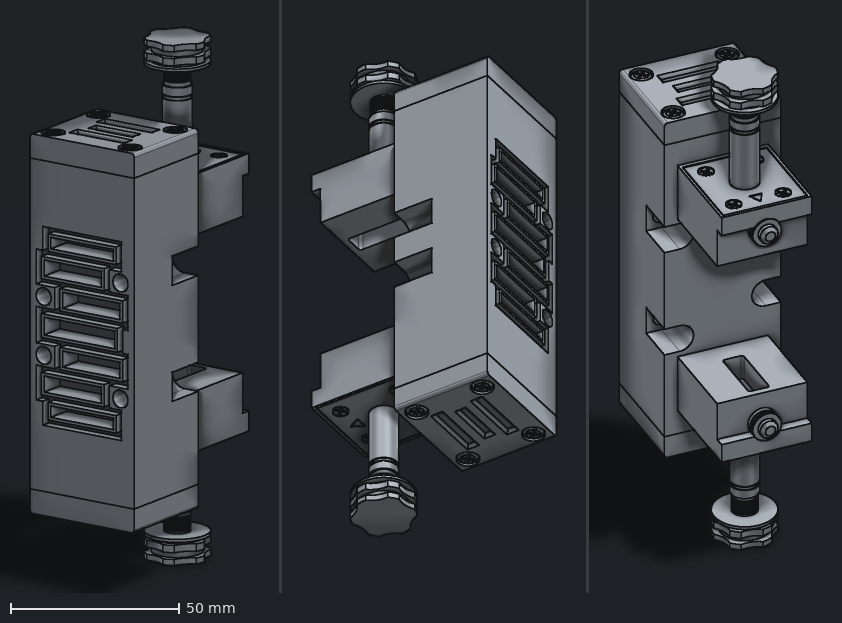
import cadquery as cq
import math


body_width = 38.0
body_depth = 33.0
body_half_length = 51.1

frame_gap = 2.0
frame_wall = 1.0
recess_depth = 3.2
port_depth = 8.0
middle_row_height = 7.4
inner_row_height = 6.9
outer_row_height = 5.5
middle_row_ends = (-14.8, 12.9)
inner_row_ends = (-8.0, 14.8)
next_row_ends = (-14.8, 8.0)
outer_row_ends = (-12.4, 12.4)

bolt_hole_radius = 2.7
bolt_slot_radius = 4.5
bolt_slot_depth = 13.3
bolt_x = 14.0

cap_height = 7.5
cap_edge_radius = 1.1
cap_screw_x = 14.0
cap_screw_y = (5.0, 28.1)
cap_screw_seat_radius = 3.5
cap_screw_base_radius = 3.2
cap_screw_top_radius = 2.2
cap_screw_sink = 1.0
vent_depth = 1.1
vent_inset = 1.0
vents = ((20.0, 4.2, 9.6), (16.0, 3.9, 16.5), (20.0, 4.2, 23.6))

housing_width = 29.4
housing_back = 61.7
housing_inner_z = 24.1
housing_outer_z = 42.9
lip_back = 65.0
lip_height = 6.3
rim_width = 1.05
rim_front_width = 1.5
rim_height = 0.3
housing_screw_x = 8.0
housing_screw_spacing = 20.1
housing_screw_radius = 2.4
housing_screw_sink = 0.3
housing_cross_length = 3.4
arrow_width = 4.2
arrow_length = 3.9
arrow_depth = 0.3
arrow_tip_from_knob = 11.7
window_width = 6.7
window_front = 40.2
window_back = 59.5
window_depth = 8.0
window_corner_radius = 1.0

override_z = 34.0
override_radius = 4.7
override_groove_radius = 4.5
override_groove_start = 63.2
override_groove_end = 64.3
override_end = 65.2
override_head_radius = 2.9
override_head_bevel_height = 1.0
override_head_tip_radius = 1.6
override_tip = 67.7

cross_width = 0.8
cross_depth = 0.8

knob_y = 48.9
knob_top = 80.4
upper_grip_bottom = 78.5
lower_grip_top = 76.3
lower_grip_bottom = 74.1
flange_top = 73.1
flange_bottom = 72.2
thread_bottom = 67.2
collar_top = 65.7
collar_groove_top = 62.8
collar_groove_bottom = 61.7
flange_radius = 10.0
hub_radius = 7.8
thread_radius = 4.0
thread_pitch = 1.0
thread_groove = 0.3
stem_radius = 4.5
collar_groove_radius = 4.2
grip_radius = 10.0
grip_dip_radius = 8.7
grip_lobes = 6
grip_dip_angle = 20.0
grip_dip_half_angle = 20.0


def box(x_range, y_range, z_range):
    """Box given by its limits along each axis."""
    size = [high - low for low, high in (x_range, y_range, z_range)]
    corner = (x_range[0], y_range[0], z_range[0])
    return cq.Workplane("XY").box(*size, centered=False).translate(corner)


def disc(radius, bottom, top):
    """Round disc about the Z axis."""
    return cq.Workplane("XY", origin=(0, 0, bottom)).circle(radius).extrude(top - bottom)


def cross_recess(x, y, z, length):
    """Diagonal cross cutter for a screw head whose face is at height z."""
    bar = cq.Workplane("XY").box(length, cross_width, 2 * cross_depth)
    cross = bar.union(bar.rotate((0, 0, 0), (0, 0, 1), 90))
    return cross.rotate((0, 0, 0), (0, 0, 1), 45).translate((x, y, z))



def port_rows():
    """Limits (x_range, z_range) of every port frame."""
    inner_z = middle_row_height / 2 + frame_gap
    next_z = inner_z + inner_row_height + frame_gap
    outer_z = next_z + inner_row_height + frame_gap
    half_rows = [
        (inner_row_ends, inner_z, inner_row_height),
        (next_row_ends, next_z, inner_row_height),
        (outer_row_ends, outer_z, outer_row_height),
    ]
    rows = [(middle_row_ends, (-middle_row_height / 2, middle_row_height / 2))]
    for ends, z, height in half_rows:
        rows.append((ends, (z, z + height)))
        rows.append((ends, (-z - height, -z)))
    return rows


def grown(limits, margin):
    """Limits moved outward by a margin, or inward by a negative one."""
    return limits[0] - margin, limits[1] + margin


def bolt_places():
    """Bolt holes sit beside the inner rows on -X and beside the next rows on +X."""
    inner_z = middle_row_height / 2 + frame_gap + inner_row_height / 2
    next_z = inner_z + inner_row_height + frame_gap
    return [(side * bolt_x, sign * z, side) for side, z in ((-1, inner_z), (1, next_z)) for sign in (-1, 1)]


def make_valve_block():
    half_width = body_width / 2
    block = box((-half_width, half_width), (0, body_depth), (-body_half_length, body_half_length))

    for x_range, z_range in port_rows():
        block = block.cut(box(grown(x_range, frame_gap), (0, recess_depth), grown(z_range, frame_gap)))
    for x_range, z_range in port_rows():
        block = block.union(box(x_range, (0, recess_depth), z_range))
    for x_range, z_range in port_rows():
        block = block.cut(box(grown(x_range, -frame_wall), (0, port_depth), grown(z_range, -frame_wall)))

    slot_front = body_depth - bolt_slot_depth
    for x, z, side in bolt_places():
        toward_back = cq.Workplane("XZ", origin=(x, 0, z))
        hole = toward_back.circle(bolt_hole_radius).extrude(-body_depth)
        slot_end = toward_back.workplane(offset=-slot_front).circle(bolt_slot_radius).extrude(-bolt_slot_depth)
        slot = box(
            tuple(sorted((x, side * half_width))),
            (slot_front, body_depth),
            (z - bolt_slot_radius, z + bolt_slot_radius),
        )
        block = block.cut(hole).cut(slot_end).cut(slot)
    return block



def make_end_cap():
    top = body_half_length + cap_height
    half_width = body_width / 2
    cap = box((-half_width, half_width), (0, body_depth), (body_half_length, top))
    cap = cap.edges("|Y and >Z").fillet(cap_edge_radius)

    for length, width, y in vents:
        vent = (
            cq.Workplane("XY", origin=(0, y, top))
            .rect(length, width)
            .workplane(offset=-vent_depth)
            .rect(length - 2 * vent_inset, width - 2 * vent_inset)
            .loft()
        )
        cap = cap.cut(vent)

    for x in (-cap_screw_x, cap_screw_x):
        for y in cap_screw_y:
            seat = disc(cap_screw_seat_radius, top - cap_screw_sink, top)
            head = (
                cq.Workplane("XY", origin=(0, 0, top - cap_screw_sink))
                .circle(cap_screw_base_radius)
                .workplane(offset=cap_screw_sink)
                .circle(cap_screw_top_radius)
                .loft()
            )
            cross = cross_recess(x, y, top, 2 * cap_screw_top_radius)
            cap = cap.cut(seat.cut(head).translate((x, y, 0))).cut(cross)
    return cap



def override_screw():
    """Stepped round screw along Y, turned from its half section (radius, Y)."""
    half_section = [
        (0, housing_back),
        (override_radius, housing_back),
        (override_radius, override_groove_start),
        (override_groove_radius, override_groove_start),
        (override_groove_radius, override_groove_end),
        (override_radius, override_groove_end),
        (override_radius, override_end),
        (override_head_radius, override_end),
        (override_head_radius, override_tip - override_head_bevel_height),
        (override_head_tip_radius, override_tip),
        (0, override_tip),
    ]
    screw = cq.Workplane("XY").polyline(half_section).close().revolve(360, (0, 0), (0, 1))
    return screw.translate((0, 0, override_z))


def make_housing():
    half_width = housing_width / 2
    sides = (-half_width, half_width)
    housing = box(sides, (body_depth, housing_back), (housing_inner_z, housing_outer_z))
    lip = box(sides, (housing_back, lip_back), (housing_outer_z - lip_height, housing_outer_z))
    housing = housing.union(lip).union(override_screw())

    face = housing_outer_z - rim_height
    rimmed_face = box(
        grown(sides, -rim_width),
        (body_depth + rim_front_width, lip_back - rim_width),
        (face, housing_outer_z),
    )
    housing = housing.cut(rimmed_face)

    screw_face = face - housing_screw_sink
    for x in (-housing_screw_x, housing_screw_x):
        for y in (knob_y - housing_screw_spacing / 2, knob_y + housing_screw_spacing / 2):
            seat = cq.Workplane("XY", origin=(x, y, screw_face)).circle(housing_screw_radius)
            cross = cross_recess(x, y, screw_face, housing_cross_length)
            housing = housing.cut(seat.extrude(housing_screw_sink)).cut(cross)

    tip_y = knob_y + arrow_tip_from_knob
    base_y = tip_y - arrow_length
    arrow = cq.Workplane("XY", origin=(0, 0, face)).polyline(
        [(0, tip_y), (-arrow_width / 2, base_y), (arrow_width / 2, base_y)]
    )
    housing = housing.cut(arrow.close().extrude(-arrow_depth))

    window = box(
        (-window_width / 2, window_width / 2),
        (window_front, window_back),
        (housing_inner_z, housing_inner_z + window_depth),
    )
    return housing.cut(window.edges("|Z").fillet(window_corner_radius))



def grip(bottom, top):
    """Six-lobed disc: round lobes joined by shallow dips."""
    def on_circle(radius, angle):
        return radius * math.cos(math.radians(angle)), radius * math.sin(math.radians(angle))

    spacing = 360 / grip_lobes
    outline = cq.Workplane("XY", origin=(0, 0, bottom))
    outline = outline.moveTo(*on_circle(grip_radius, grip_dip_angle - grip_dip_half_angle))
    for index in range(grip_lobes):
        dip = grip_dip_angle + index * spacing
        dip_end = dip + grip_dip_half_angle
        next_dip_start = dip + spacing - grip_dip_half_angle
        outline = outline.threePointArc(on_circle(grip_dip_radius, dip), on_circle(grip_radius, dip_end))
        outline = outline.threePointArc(
            on_circle(grip_radius, dip + spacing / 2), on_circle(grip_radius, next_dip_start)
        )
    return outline.close().extrude(top - bottom)


def make_knob():
    seat = housing_outer_z - rim_height
    knob = disc(stem_radius, seat, collar_groove_bottom)
    knob = knob.union(disc(collar_groove_radius, collar_groove_bottom, collar_groove_top))
    knob = knob.union(disc(stem_radius, collar_groove_top, collar_top))
    knob = knob.union(disc(thread_radius, collar_top, flange_bottom))
    knob = knob.union(disc(flange_radius, flange_bottom, flange_top))
    knob = knob.union(disc(hub_radius, flange_top, knob_top))
    knob = knob.union(grip(lower_grip_bottom, lower_grip_top))
    knob = knob.union(grip(upper_grip_bottom, knob_top))

    groove_count = int((flange_bottom - thread_bottom) / thread_pitch)
    for index in range(groove_count):
        z = thread_bottom + index * thread_pitch
        ring = disc(thread_radius, z, z + thread_pitch / 2)
        ring = ring.cut(disc(thread_radius - thread_groove, z, z + thread_pitch / 2))
        knob = knob.cut(ring)
    return knob.translate((0, knob_y, 0))



valve_block = make_valve_block()
bodies = [valve_block.val()]
for part in (make_end_cap(), make_housing(), make_knob()):
    bodies.append(part.val())
    bodies.append(part.mirror("XY").val())

result = cq.Compound.makeCompound(bodies)